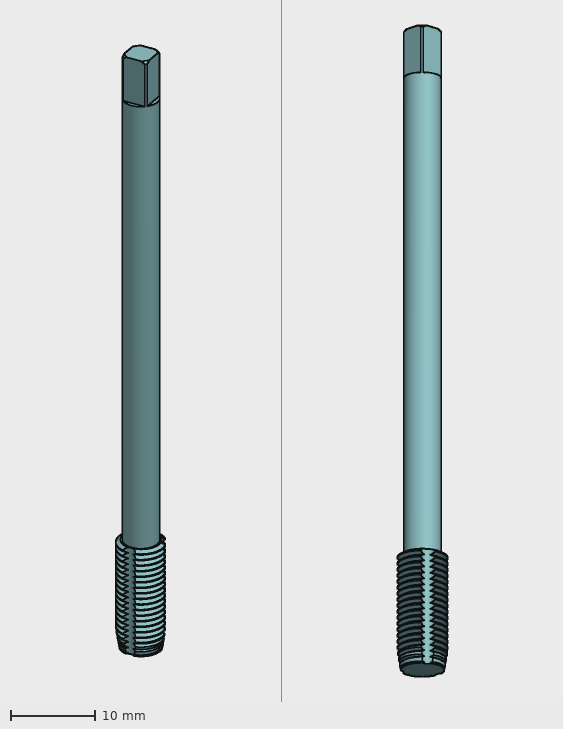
import cadquery as cq
import math

total_length = 80.0

shank_diameter = 4.5
square_width = 3.4
square_length = 6.0
end_chamfer = 0.3

major_diameter = 6.0
pitch = 0.75
thread_depth = 0.55
crest_width = 0.13
ring_count = 19
first_root_z = 0.12

lead_length = 2.4
tip_diameter = 5.2

flute_count = 3
flute_floor_radius = 2.36
flute_mouth_width = 1.7
first_flute_angle = -90.0

major_radius = major_diameter / 2
minor_radius = major_radius - thread_depth
thread_length = first_root_z + ring_count * pitch


def make_shank():
    """Round shank standing on the head, ending in a square with rounded-off corners."""
    cylinder = (
        cq.Workplane("XY")
        .workplane(offset=thread_length)
        .circle(shank_diameter / 2)
        .extrude(total_length - thread_length)
        .faces(">Z")
        .chamfer(end_chamfer)
    )
    driving_end = cq.Workplane("XY").workplane(offset=total_length - square_length)
    square = driving_end.rect(square_width, square_width).extrude(square_length)
    waste = driving_end.circle(shank_diameter).extrude(square_length).cut(square)
    return cylinder.cut(waste)


def make_thread_blank():
    """Bar of rings, each rising from the minor to the major radius and back, with one extra below Z = 0."""
    outline = [(0, first_root_z - pitch), (minor_radius, first_root_z - pitch)]
    for index in range(-1, ring_count):
        root_z = first_root_z + (index + 1) * pitch
        crest_z = root_z - pitch / 2
        outline.append((major_radius, crest_z - crest_width / 2))
        outline.append((major_radius, crest_z + crest_width / 2))
        outline.append((minor_radius, root_z))
    outline.append((0, thread_length))
    return cq.Workplane("XZ").polyline(outline).close().revolve(360, (0, 0, 0), (0, 1, 0))


def make_lead_envelope():
    """Solid of revolution that trims the crests to a cone and ends the tip flat at Z = 0."""
    outline = [
        (0, 0),
        (tip_diameter / 2, 0),
        (major_radius, lead_length),
        (major_radius, thread_length),
        (0, thread_length),
    ]
    return cq.Workplane("XZ").polyline(outline).close().revolve(360, (0, 0, 0), (0, 1, 0))


def make_flute(angle):
    """Straight round-bottomed cutter whose mouth has the given width at the major diameter."""
    half_mouth = flute_mouth_width / 2
    depth = math.sqrt(major_radius**2 - half_mouth**2) - flute_floor_radius
    cutter_radius = (half_mouth**2 + depth**2) / (2 * depth)
    return (
        cq.Workplane("XY")
        .center(flute_floor_radius + cutter_radius, 0)
        .circle(cutter_radius)
        .extrude(thread_length)
        .rotate((0, 0, 0), (0, 0, 1), angle)
    )


def make_threaded_head():
    """Ringed head with a tapered lead and evenly spaced lubrication flutes."""
    head = make_thread_blank().intersect(make_lead_envelope())
    for index in range(flute_count):
        head = head.cut(make_flute(first_flute_angle + index * 360 / flute_count))
    return head


shank = make_shank()
threaded_head = make_threaded_head()

result = cq.Compound.makeCompound([shank.val(), threaded_head.val()])